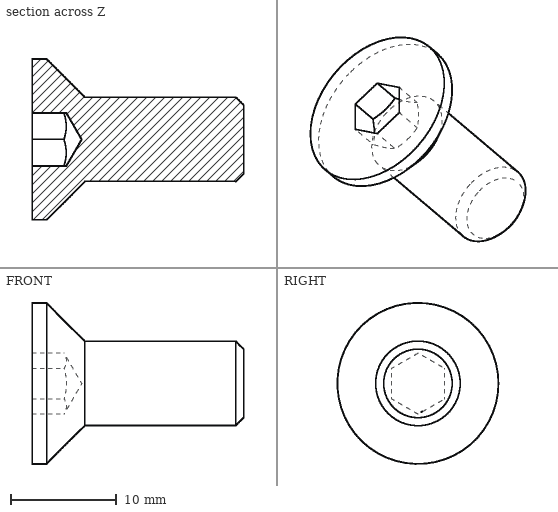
import cadquery as cq
import math

length = 20.0
head_diameter = 15.25
shank_diameter = 8.0
head_height = 4.98
tip_chamfer = 0.75
socket_across_flats = 5.0
socket_depth = 3.0
socket_cone_angle = 120.0

head_radius = head_diameter / 2
shank_radius = shank_diameter / 2
rim_thickness = head_height - (head_radius - shank_radius)

socket_corner_radius = socket_across_flats / math.sqrt(3)
socket_cone_height = socket_corner_radius / math.tan(math.radians(socket_cone_angle / 2))
socket_total_depth = socket_depth + socket_cone_height


def revolve_about_x(points):
    """Turn an (axial, radial) outline about the screw axis."""
    return cq.Workplane("XY").polyline(points).close().revolve(360, (0, 0, 0), (1, 0, 0))


def make_body():
    """Head rim, countersink, shank and chamfered tip."""
    return revolve_about_x([
        (0, 0),
        (0, head_radius),
        (rim_thickness, head_radius),
        (head_height, shank_radius),
        (length - tip_chamfer, shank_radius),
        (length, shank_radius - tip_chamfer),
        (length, 0),
    ])


def make_socket():
    """Hexagonal socket with flats facing Y, ending in a conical floor."""
    hexagon = (
        cq.Workplane("YZ")
        .transformed(rotate=(0, 0, 90))
        .polygon(6, 2 * socket_corner_radius)
        .extrude(socket_total_depth)
    )
    cone_slope = socket_cone_height / socket_corner_radius
    cutter = revolve_about_x([
        (0, 0),
        (0, socket_total_depth / cone_slope),
        (socket_total_depth, 0),
    ])
    return hexagon.intersect(cutter)


result = make_body().cut(make_socket())